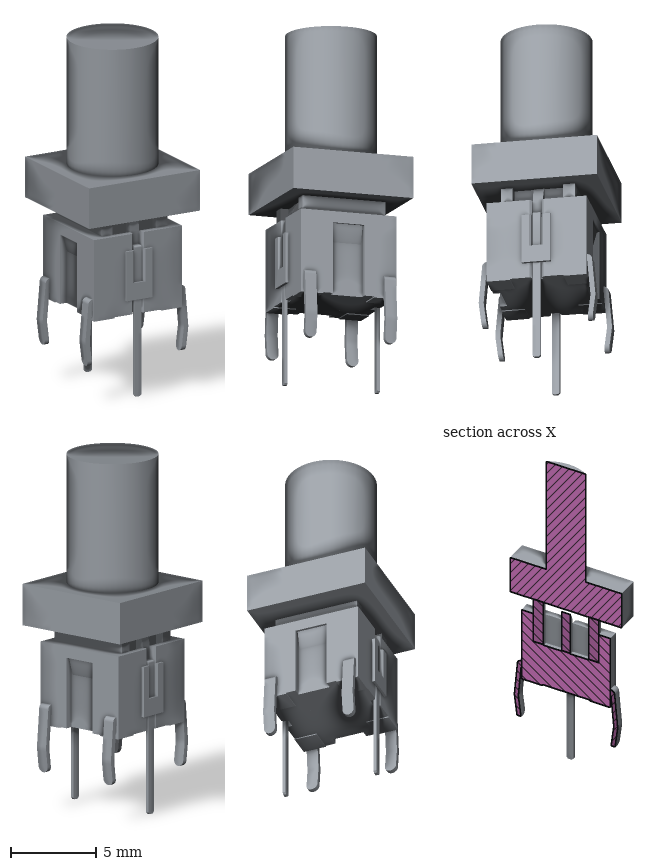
import cadquery as cq
import math

total_height = 21.25
cap_width = 7.5
skirt_bottom = 11.0
skirt_top = 13.5
button_diameter = 5.4

housing_width = 5.97
housing_bottom = 5.08
housing_top = 10.0
foot_height = 0.06
feet_gap = 3.19
bar_width = 1.75
bar_thickness = 0.18
bar_bottom = 6.0
bar_top = 9.0
bar_slot_bottom = 7.03

window_width = 1.98
window_depth = 0.45
window_top = 9.33
rib_side_gap = 0.06
rib_top_depth = 0.15
rib_bottom = 8.25

base_top = 7.97

plunger_length = 5.18
plunger_width = 4.42
channel_width = 3.02
channel_depth = 0.5
rail_bend_radius = 1.38

slot_width = 0.62
slot_chamfer = 0.1

pin_width = 0.47
pin_thickness = 0.2
pin_top = 9.22
pin_top_radius = 0.1
pin_foot_height = 0.2
pin_tip_chamfer = 0.1

leg_spacing = 5.0
leg_width = 0.7
leg_thickness = 0.3
leg_top = 6.33
leg_shoulder = 6.05
leg_knee_reach = 0.49
leg_knee_top = 3.93
leg_knee_bottom = 3.61
leg_knee_bulge = 0.01
leg_tip_reach = 0.32
leg_tip = 2.25

housing_face = housing_width / 2
plunger_face = plunger_length / 2
window_floor = housing_face - window_depth
slot_depth = housing_face - plunger_face


def block(x_size, y_size, bottom, top):
    """Box centred on the Z axis between two heights."""
    return cq.Workplane("XY").workplane(offset=bottom).rect(x_size, y_size).extrude(top - bottom)


def turned(shape, angle):
    """The shape turned about the Z axis."""
    return shape.rotate((0, 0, 0), (0, 0, 1), angle)


def make_cap():
    skirt = block(cap_width, cap_width, skirt_bottom, skirt_top)
    return skirt.faces(">Z").workplane().circle(button_diameter / 2).extrude(total_height - skirt_top)


def rail():
    """Rail on the +X side, upright inside the housing and curving inwards above it."""
    rise = skirt_bottom - housing_top
    lean = math.asin(rise / rail_bend_radius)

    def bend_point(angle):
        inset = rail_bend_radius * (1 - math.cos(angle))
        return (plunger_face - inset, housing_top + rail_bend_radius * math.sin(angle))

    root = plunger_face - channel_depth
    return (
        cq.Workplane("XZ")
        .moveTo(root, base_top)
        .lineTo(plunger_face, base_top)
        .lineTo(plunger_face, housing_top)
        .threePointArc(bend_point(lean / 2), bend_point(lean))
        .lineTo(root, skirt_bottom)
        .close()
        .extrude(slot_width / 2, both=True)
    )


def make_plunger():
    channel_floor_length = plunger_length - 2 * channel_depth
    plunger = block(plunger_length, plunger_width, base_top, skirt_bottom)
    channels = block(plunger_length, channel_width, base_top, skirt_bottom).cut(
        block(channel_floor_length, channel_width, base_top, skirt_bottom)
    )
    plunger = plunger.cut(channels)
    for angle in (0, 180):
        plunger = plunger.union(turned(rail(), angle))
    return plunger


def make_base():
    return block(window_width, 2 * window_floor, housing_bottom, base_top)


def pin_slot(face, bottom, top):
    """Space of a slot in the +X side, open at the given face and chamfered along both edges."""
    half_width = slot_width / 2
    half_mouth = half_width + slot_chamfer
    chamfer_root = face - slot_chamfer
    outline = [
        (plunger_face, -half_width),
        (chamfer_root, -half_width),
        (face, -half_mouth),
        (face, half_mouth),
        (chamfer_root, half_width),
        (plunger_face, half_width),
    ]
    return cq.Workplane("XY").workplane(offset=bottom).polyline(outline).close().extrude(top - bottom)


def side_bar():
    """Bar that bridges the pin slot on the +X side."""
    bar_center = housing_face + bar_thickness / 2
    bar = block(bar_thickness, bar_width, bar_bottom, bar_top).translate((bar_center, 0, 0))
    return bar.cut(pin_slot(housing_face + bar_thickness, bar_slot_bottom, bar_top))


def window():
    """Space of the window in the -Y side."""
    window_center = housing_face - window_depth / 2
    return block(window_width, window_depth, housing_bottom, window_top).translate((0, -window_center, 0))


def window_rib():
    """Rib in the -Y window that slopes back to the window floor."""
    rib_width = window_width - 2 * rib_side_gap
    outline = [
        (-window_floor, window_top),
        (-housing_face + rib_top_depth, window_top),
        (-window_floor, rib_bottom),
    ]
    return cq.Workplane("YZ").polyline(outline).close().extrude(rib_width / 2, both=True)


def make_housing(base):
    foot_bottom = housing_bottom - foot_height
    housing = block(housing_width, housing_width, foot_bottom, housing_top)
    housing = housing.cut(block(feet_gap, housing_width, foot_bottom, housing_bottom))
    housing = housing.cut(block(housing_width, feet_gap, foot_bottom, housing_bottom))
    housing = housing.cut(block(plunger_length, plunger_width, base_top, housing_top))
    housing = housing.cut(base)
    for angle in (0, 180):
        housing = housing.cut(turned(pin_slot(housing_face, housing_bottom, housing_top), angle))
        housing = housing.union(turned(side_bar(), angle))
        housing = housing.cut(turned(window(), angle))
        housing = housing.union(turned(window_rib(), angle))
    return housing


def make_pin():
    """Flat pin in the slot on the +X side, with a chamfered tip and a foot bent in to the plunger."""
    pin_center = housing_face - pin_thickness / 2
    foot_center = housing_face - slot_depth / 2
    blade = block(pin_thickness, pin_width, 0, pin_top).edges("|X and <Z").chamfer(pin_tip_chamfer)
    foot = block(slot_depth, pin_width, pin_top - pin_foot_height, pin_top)
    pin = blade.translate((pin_center, 0, 0)).union(foot.translate((foot_center, 0, 0)))
    return pin.edges(">Z and >X").fillet(pin_top_radius)


def make_leg():
    """Bowed leg at X = 0 on the +Y side, standing against the housing face, with a round tip."""
    shoulder_y = housing_face + leg_thickness
    knee_y = housing_face + leg_knee_reach
    tip_y = housing_face + leg_tip_reach
    knee_middle = (leg_knee_top + leg_knee_bottom) / 2
    bend_height = leg_top - leg_shoulder
    bend_middle = (
        housing_face + leg_thickness * math.sin(math.pi / 4),
        leg_shoulder + bend_height * math.sin(math.pi / 4),
    )
    side = (
        cq.Workplane("YZ")
        .moveTo(housing_face, leg_top)
        .threePointArc(bend_middle, (shoulder_y, leg_shoulder))
        .lineTo(knee_y, leg_knee_top)
        .threePointArc((knee_y + leg_knee_bulge, knee_middle), (knee_y, leg_knee_bottom))
        .lineTo(tip_y, leg_tip)
        .lineTo(tip_y - leg_thickness, leg_tip)
        .lineTo(knee_y - leg_thickness, leg_knee_bottom)
        .threePointArc(
            (knee_y + leg_knee_bulge - leg_thickness, knee_middle),
            (knee_y - leg_thickness, leg_knee_top),
        )
        .lineTo(housing_face, leg_shoulder)
        .close()
        .extrude(leg_width / 2, both=True)
    )
    tip_radius = leg_width / 2
    front = (
        cq.Workplane("XZ")
        .moveTo(-tip_radius, leg_top)
        .lineTo(-tip_radius, leg_tip + tip_radius)
        .threePointArc((0, leg_tip), (tip_radius, leg_tip + tip_radius))
        .lineTo(tip_radius, leg_top)
        .close()
        .extrude(-cap_width)
    )
    return side.intersect(front)


cap = make_cap()
plunger = make_plunger()
base = make_base()
housing = make_housing(base)

pins = []
legs = []
for angle in (0, 180):
    pins.append(turned(make_pin(), angle).val())
    for x in (-leg_spacing / 2, leg_spacing / 2):
        legs.append(turned(make_leg().translate((x, 0, 0)), angle).val())

result = cq.Compound.makeCompound(
    [cap.val(), plunger.val(), base.val(), housing.val(), *pins, *legs]
)